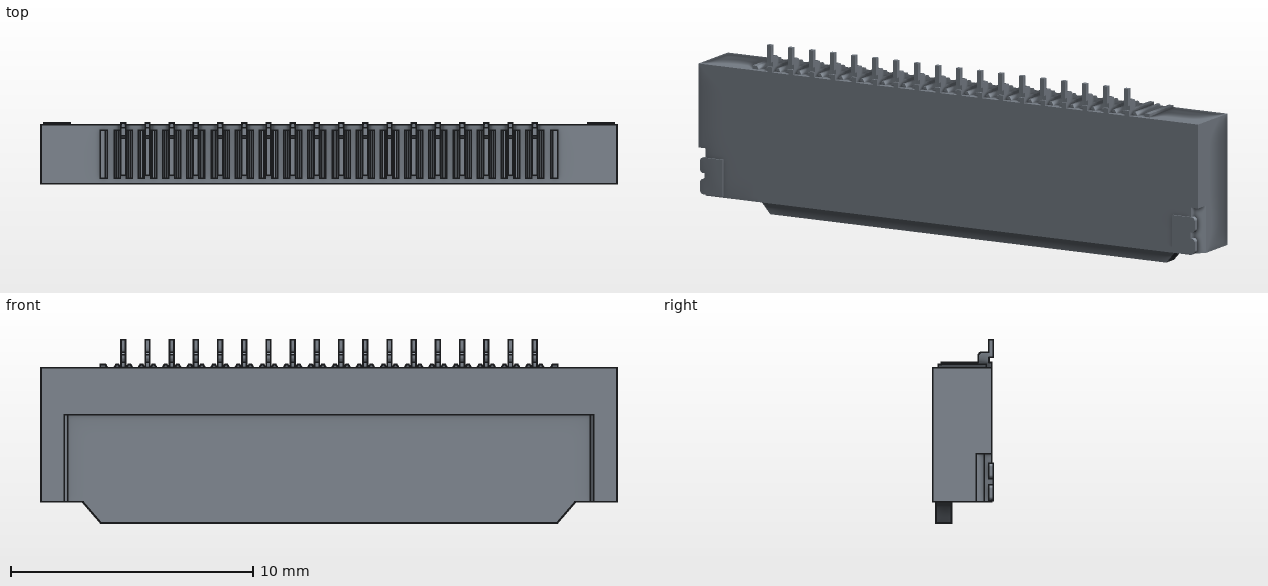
import cadquery as cq


total_length = 23.8
total_depth = 2.52
total_height = 7.58

rear_overhang = 0.07
housing_depth = total_depth - rear_overhang
housing_height = 5.55
half_length = total_length / 2

recess_side_wall = 0.96
recess_depth = 0.14
recess_top = 3.61
plate_thickness = 0.65
plate_drop = 0.87
plate_shoulder_half = half_length - 1.72
plate_tip_half = half_length - 2.47

contact_count = 18
contact_pitch = 1.0
contact_width = 0.2
contact_height = total_height - plate_drop - housing_height
tail_thickness = 0.2
tail_bottom = 0.43
block_front = 0.63
block_top = 0.64
block_chamfer = 0.1
notch_depth = 0.18
strip_height = 0.22
strip_front = 2.16

rib_pitch = contact_pitch / 2
rib_count = 2 * contact_count
rib_height = 0.14
rib_base_width = 0.25
rib_side_slope = 0.08
rib_margin = 0.23
end_rib_outer = 9.46
end_rib_width = 0.3

corner_notch_height = 2.0
corner_notch_depth = 0.65
corner_notch_inset = 0.33
tab_outer_gap = 0.12
tab_corner_radius = 0.15
hold_down_reach = 1.2
tab_thickness = 0.2
tab_height = 0.65
tab_spacing = 0.9
tab_bottom = 0.06


def centered_row(count, pitch):
    """X positions of equally spaced features, centred on X = 0."""
    return [(i - (count - 1) / 2) * pitch for i in range(count)]


def both_ends(shape):
    """Join a shape with its mirror image at the other end of the connector."""
    return shape.union(shape.mirror("YZ"))


def box(x0, x1, y0, y1, z0, z1):
    return cq.Workplane("XY").box(x1 - x0, y1 - y0, z1 - z0, centered=False).translate((x0, y0, z0))


def extrude_along_y(points, y_front, y_rear):
    """Extrude an XZ outline from y_front back to y_rear."""
    return cq.Workplane("XZ", origin=(0, y_front, 0)).polyline(points).close().extrude(y_front - y_rear)


def front_recess():
    """Shallow recess open at the bottom, with 45 degree side walls."""
    mouth = half_length - recess_side_wall
    floor = mouth - recess_depth
    outline = [(-mouth, 0), (mouth, 0), (floor, recess_depth), (-floor, recess_depth)]
    return cq.Workplane("XY").polyline(outline).close().extrude(recess_top)


def corner_notch():
    """Notch at the lower rear edge of the -X end, with a 45 degree front wall."""
    wall_x = -half_length + corner_notch_inset
    notch_front = housing_depth - corner_notch_depth
    outline = [
        (-half_length, notch_front),
        (wall_x, notch_front + corner_notch_inset),
        (wall_x, housing_depth),
        (-half_length, housing_depth),
    ]
    return cq.Workplane("XY").polyline(outline).close().extrude(corner_notch_height)


def housing():
    body = box(-half_length, half_length, 0, housing_depth, 0, housing_height)
    return body.cut(front_recess()).cut(both_ends(corner_notch()))


def cover_plate_tongue():
    """Part of the cover plate below the housing, tapered at both ends."""
    outline = [
        (-plate_shoulder_half, 0),
        (-plate_tip_half, -plate_drop),
        (plate_tip_half, -plate_drop),
        (plate_shoulder_half, 0),
    ]
    return extrude_along_y(outline, recess_depth, recess_depth + plate_thickness)


def contact(x):
    """Strip along the top of the housing, a raised block and an upright solder tail."""
    block_y = total_depth - block_front
    block_z = housing_height + block_top
    strip_z = housing_height + strip_height
    notch_y = total_depth - notch_depth
    tail_z = housing_height + tail_bottom
    tail_front = total_depth - tail_thickness
    outline = [
        (housing_depth, housing_height),
        (housing_depth, strip_z),
        (notch_y, strip_z),
        (notch_y, tail_z),
        (total_depth, tail_z),
        (total_depth, housing_height + contact_height),
        (tail_front, housing_height + contact_height),
        (tail_front, block_z),
        (block_y + block_chamfer, block_z),
        (block_y, block_z - block_chamfer),
        (block_y, strip_z),
        (total_depth - strip_front, strip_z),
        (total_depth - strip_front, housing_height),
    ]
    start = x - contact_width / 2
    return cq.Workplane("YZ", origin=(start, 0, 0)).polyline(outline).close().extrude(contact_width)


def rib(x):
    """Trapezoidal rib across the top of the housing."""
    base_half = rib_base_width / 2
    top_half = base_half - rib_side_slope
    rib_top = housing_height + rib_height
    outline = [
        (x - base_half, housing_height),
        (x - top_half, rib_top),
        (x + top_half, rib_top),
        (x + base_half, housing_height),
    ]
    return extrude_along_y(outline, rib_margin, housing_depth - rib_margin)


def end_rib():
    """Last rib at the -X end, upright on its outer side."""
    rib_top = housing_height + rib_height
    inner = -end_rib_outer + end_rib_width
    outline = [
        (-end_rib_outer, housing_height),
        (-end_rib_outer, rib_top),
        (inner - rib_side_slope, rib_top),
        (inner, housing_height),
    ]
    return extrude_along_y(outline, rib_margin, housing_depth - rib_margin)


def hold_down():
    """Plate set into the rear face at the -X end, with two round-cornered tabs in the notch."""
    tab_x = -half_length + tab_outer_gap
    plate_x0 = -half_length + corner_notch_inset
    plate_x1 = -half_length + hold_down_reach
    y0 = total_depth - tab_thickness
    plate_z = tab_bottom + tab_spacing + tab_height
    plate = box(plate_x0, plate_x1, y0, total_depth, tab_bottom, plate_z)
    tab = box(tab_x, plate_x1, y0, total_depth, tab_bottom, tab_bottom + tab_height)
    tab = tab.edges("|Y and <X").fillet(tab_corner_radius)
    return plate.union(tab).union(tab.translate((0, 0, tab_spacing)))


result = housing().union(cover_plate_tongue()).union(both_ends(hold_down())).union(both_ends(end_rib()))
for rib_x in centered_row(rib_count, rib_pitch):
    result = result.union(rib(rib_x))
for contact_x in centered_row(contact_count, contact_pitch):
    result = result.union(contact(contact_x))